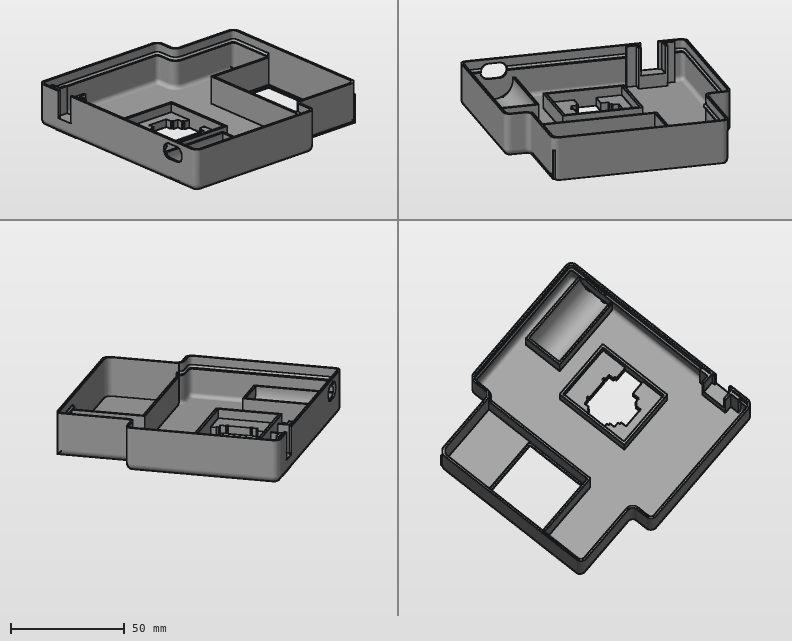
import cadquery as cq

BODY_WIDTH = 104.0
BODY_DEPTH = 70.2
NECK_WIDTH = 81.3
TOTAL_DEPTH = 105.0
HEIGHT = 20.0
WALL = 1.0
EMBED = WALL / 2
OUTER_RADIUS = 3.0
STEP_RADIUS = 2.5
INNER_NECK_X = NECK_WIDTH / 2 - WALL
INNER_BACK_Y = TOTAL_DEPTH - WALL

BEAD_DEPTH = 1.0
BEAD_BOTTOM = 14.0
BEAD_FLANK_ANGLE = 45

CHAMBER_LEFT = -16.4
CHAMBER_FRONT = 71.7
CHAMBER_TOP = BEAD_BOTTOM
CHAMBER_FLOOR = 2 * WALL
WINDOW_LEDGE = 0.9

SOCKET_LENGTH = 36.9
SOCKET_DEPTH = 29.9
SOCKET_X = 0.4
SOCKET_Y = 33.0
SOCKET_TOP = 8.0
SOCKET_FLOOR = 3.8
SOCKET_WALL = 1.2
KEY_Y = 34.8
KEY_BODY = 17.0
KEY_ARM = 10.1
KEY_LEFT_REACH = 12.3
KEY_STEP = 0.9

TROUGH_X = 36.5
TROUGH_RADIUS = 8.6
TROUGH_AXIS_Z = WALL + TROUGH_RADIUS
TROUGH_TOP = 10.6
TROUGH_END_Y = 37.1
OVAL_LENGTH = 12.1
OVAL_HEIGHT = 7.2
OVAL_Z = 14.3

NOTCH_X = -35.1
NOTCH_WIDTH = 8.1
NOTCH_SILL = 7.0
BAY_WIDTH = 11.2
BAY_DEPTH = 6.6
PLATE_LENGTH = 22.0
PLATE_FRONT = 1.5
PLATE_BACK = 2.9


def block(x_min, x_max, y_min, y_max, z_min, z_max):
    """Box given by its limits along each axis."""
    size = (x_max - x_min, y_max - y_min, z_max - z_min)
    return cq.Workplane("XY").box(*size, centered=False).translate((x_min, y_min, z_min))


def outline_prism(inset, z_min, z_max, depth=TOTAL_DEPTH, taper=0):
    """Prism of the case outline, shrunk by inset and with concentric rounded corners."""
    body_x, neck_x = BODY_WIDTH / 2, NECK_WIDTH / 2
    points = [
        (-body_x, 0), (body_x, 0), (body_x, BODY_DEPTH), (neck_x, BODY_DEPTH),
        (neck_x, depth), (-neck_x, depth), (-neck_x, BODY_DEPTH), (-body_x, BODY_DEPTH),
    ]
    sharp = cq.Workplane("XY", origin=(0, 0, z_min)).polyline(points).close().extrude(HEIGHT)
    rounded = sharp.edges("|Z and (<X or >X or >Y)").fillet(OUTER_RADIUS)
    for x in (-neck_x, neck_x):
        step_corner = cq.NearestToPointSelector((x, BODY_DEPTH, z_min + HEIGHT / 2))
        rounded = rounded.edges(step_corner).fillet(STEP_RADIUS)
    wire = rounded.faces("<Z").wires().val()
    if inset:
        wire = wire.offset2D(-inset)[0]
    return cq.Workplane("XY").add(wire).toPending().extrude(z_max - z_min, taper=taper)


def tray_form(inset):
    """Tray-shaped solid whose lower edges are rounded everywhere except along the back."""
    form = outline_prism(inset, inset, HEIGHT)
    longer = outline_prism(inset, inset, HEIGHT, depth=TOTAL_DEPTH + 2 * OUTER_RADIUS)
    return form.intersect(longer.faces("<Z").edges().fillet(OUTER_RADIUS - inset))


def shell():
    """Open tray of constant wall thickness."""
    return tray_form(0).cut(tray_form(WALL))


def snap_bead():
    """Triangular ridge around the inside of the wall."""
    ridge_z = BEAD_BOTTOM + BEAD_DEPTH
    top = ridge_z + BEAD_DEPTH
    band = outline_prism(EMBED, BEAD_BOTTOM, top)
    lower = outline_prism(WALL, BEAD_BOTTOM, ridge_z, taper=BEAD_FLANK_ANGLE)
    upper = lower.mirror("XY", (0, 0, ridge_z))
    return band.cut(lower).cut(upper)


def add_chamber(case):
    """Neck chamber with a higher floor and a ledged window."""
    right = INNER_NECK_X + EMBED
    front = CHAMBER_FRONT - WALL
    case = case.union(
        block(CHAMBER_LEFT - WALL, right, front, INNER_BACK_Y + EMBED, EMBED, CHAMBER_TOP)
    )
    case = case.union(
        block(INNER_NECK_X, right, front, BODY_DEPTH + STEP_RADIUS, WALL, HEIGHT)
    )
    room = block(CHAMBER_LEFT, INNER_NECK_X, CHAMBER_FRONT, INNER_BACK_Y, CHAMBER_FLOOR, HEIGHT)
    case = case.union(room).cut(room.edges("|Z and >X and >Y").fillet(OUTER_RADIUS))
    case = case.cut(block(CHAMBER_LEFT, -CHAMBER_LEFT, CHAMBER_FRONT, INNER_BACK_Y, WALL, HEIGHT))
    window_x = -CHAMBER_LEFT - WINDOW_LEDGE
    return case.cut(
        block(-window_x, window_x, CHAMBER_FRONT + WINDOW_LEDGE, INNER_BACK_Y - WINDOW_LEDGE, 0, HEIGHT)
    )


def key_opening():
    """Stepped cross that passes through the socket floor."""
    body, arm = KEY_BODY / 2, KEY_ARM / 2
    step_body, step_arm = body + KEY_STEP, arm + KEY_STEP
    inner_half = SOCKET_DEPTH / 2 - SOCKET_WALL

    def slab(x_min, x_max, y_min, y_max):
        return block(x_min, x_max, y_min, y_max, 0, SOCKET_TOP)

    opening = slab(-body, body, KEY_Y - body, KEY_Y + body)
    opening = opening.union(slab(-arm, arm, SOCKET_Y - inner_half, SOCKET_Y + inner_half))
    opening = opening.union(slab(-KEY_LEFT_REACH, 0, KEY_Y - arm, KEY_Y + arm))
    opening = opening.union(slab(-step_arm, step_arm, KEY_Y, KEY_Y + step_body))
    opening = opening.union(slab(0, step_arm, KEY_Y - step_body, KEY_Y))
    opening = opening.union(slab(-step_body, 0, KEY_Y - step_arm, KEY_Y + step_arm))
    for y_min in (KEY_Y - step_arm, KEY_Y + arm):
        opening = opening.union(slab(0, step_body, y_min, y_min + KEY_STEP))
    return opening


def add_socket(case):
    """Rectangular frame with its keyed opening."""
    half_x, half_y = SOCKET_LENGTH / 2, SOCKET_DEPTH / 2
    frame = block(
        SOCKET_X - half_x, SOCKET_X + half_x,
        SOCKET_Y - half_y, SOCKET_Y + half_y, EMBED, SOCKET_TOP,
    )
    recess = block(
        SOCKET_X - half_x + SOCKET_WALL, SOCKET_X + half_x - SOCKET_WALL,
        SOCKET_Y - half_y + SOCKET_WALL, SOCKET_Y + half_y - SOCKET_WALL, SOCKET_FLOOR, SOCKET_TOP,
    )
    return case.union(frame.cut(recess)).cut(key_opening())


def trough_block():
    """Solid block that the channel is cut from."""
    half = TROUGH_RADIUS + WALL
    return block(TROUGH_X - half, TROUGH_X + half, OUTER_RADIUS / 2, TROUGH_END_Y + WALL, EMBED, TROUGH_TOP)


def trough_channel():
    """U-shaped channel: a half round with upright sides above its axis."""
    profile = (
        cq.Workplane("XZ", origin=(TROUGH_X, WALL, 0))
        .moveTo(-TROUGH_RADIUS, TROUGH_TOP)
        .lineTo(-TROUGH_RADIUS, TROUGH_AXIS_Z)
        .threePointArc((0, WALL), (TROUGH_RADIUS, TROUGH_AXIS_Z))
        .lineTo(TROUGH_RADIUS, TROUGH_TOP)
        .close()
    )
    return profile.extrude(WALL - TROUGH_END_Y)


def oval_hole():
    """Oval through the front wall and its bead, on the centre line of the trough."""
    profile = cq.Workplane("XZ").center(TROUGH_X, OVAL_Z).slot2D(OVAL_LENGTH, OVAL_HEIGHT)
    return profile.extrude(-OUTER_RADIUS)


def add_cable_notch(case):
    """Notch, sill, fins and backing plate at the front wall."""
    notch = NOTCH_WIDTH / 2
    bay = BAY_WIDTH / 2
    fin = bay + WALL
    plate = PLATE_LENGTH / 2
    case = case.union(block(NOTCH_X - fin, NOTCH_X + fin, WALL, BAY_DEPTH, EMBED, HEIGHT))
    case = case.union(
        block(NOTCH_X - plate, NOTCH_X + plate, PLATE_FRONT, PLATE_BACK, EMBED, HEIGHT)
    )
    case = case.cut(block(NOTCH_X - bay, NOTCH_X + bay, WALL, BAY_DEPTH, NOTCH_SILL, HEIGHT))
    return case.cut(block(NOTCH_X - notch, NOTCH_X + notch, 0, BAY_DEPTH, NOTCH_SILL, HEIGHT))


case = shell().union(trough_block()).cut(trough_channel())
case = case.union(snap_bead()).cut(oval_hole())
case = add_chamber(case)
case = add_socket(case)
result = add_cable_notch(case)